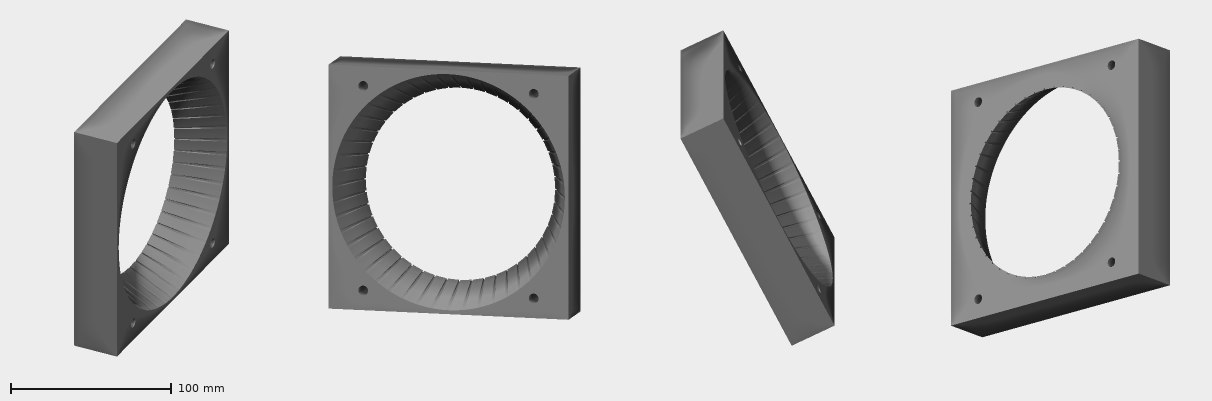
import cadquery as cq
import math

depth = 30.0
side = 155.0

front_radius = 61.0
back_radius = 75.0

notch_count = 48
notch_width = 1.0
notch_depth = 1.0

hole_diameter = 6.2
hole_spacing_y = 110.0
hole_spacing_z = 130.0

pitch_angle = 2 * math.pi / notch_count
notch_angle = math.asin(notch_width / front_radius)
notch_center_angle = -notch_angle / 2

front_land_length = front_radius * (pitch_angle - notch_angle)
front_pitch_length = front_land_length + 2 * notch_depth + notch_width
back_floor_angle = pitch_angle * notch_width / front_pitch_length
back_flank_angle = pitch_angle * notch_depth / front_pitch_length


def polar_point(x, radius, angle):
    return cq.Vector(x, radius * math.cos(angle), radius * math.sin(angle))


def arc(x, radius, start_angle, end_angle):
    """Arc about the bore axis in the plane at the given X."""
    middle_angle = (start_angle + end_angle) / 2
    return cq.Edge.makeThreePointArc(
        polar_point(x, radius, start_angle),
        polar_point(x, radius, middle_angle),
        polar_point(x, radius, end_angle),
    )


def front_outline():
    """Circle with a notch at every pitch: flank, floor, flank, then the land to the next notch."""
    edges = []
    floor_y = front_radius + notch_depth
    for index in range(notch_count):
        turn = index * pitch_angle
        notch_points = [
            polar_point(0, front_radius, turn - notch_angle),
            polar_point(0, floor_y, turn) - polar_point(0, notch_width, turn + math.pi / 2),
            polar_point(0, floor_y, turn),
            polar_point(0, front_radius, turn),
        ]
        for start, end in zip(notch_points, notch_points[1:]):
            edges.append(cq.Edge.makeLine(start, end))
        edges.append(arc(0, front_radius, turn, turn + pitch_angle - notch_angle))
    return cq.Wire.assembleEdges(edges)


def back_outline():
    """Plain circle, split into arcs that match the edges of the front outline one to one."""
    edges = []
    for index in range(notch_count):
        center = index * pitch_angle + notch_center_angle
        floor_start = center - back_floor_angle / 2
        floor_end = center + back_floor_angle / 2
        notch_start = floor_start - back_flank_angle
        notch_end = floor_end + back_flank_angle
        split_angles = [notch_start, floor_start, floor_end, notch_end, notch_start + pitch_angle]
        for start, end in zip(split_angles, split_angles[1:]):
            edges.append(arc(depth, back_radius, start, end))
    return cq.Wire.assembleEdges(edges)


def frame():
    return cq.Workplane("YZ").rect(side, side).extrude(depth)


def bore():
    return cq.Workplane(cq.Solid.makeLoft([front_outline(), back_outline()], True))


def mounting_holes():
    return (
        cq.Workplane("YZ")
        .rect(hole_spacing_y, hole_spacing_z, forConstruction=True)
        .vertices()
        .circle(hole_diameter / 2)
        .extrude(depth)
    )


result = frame().cut(bore()).cut(mounting_holes())